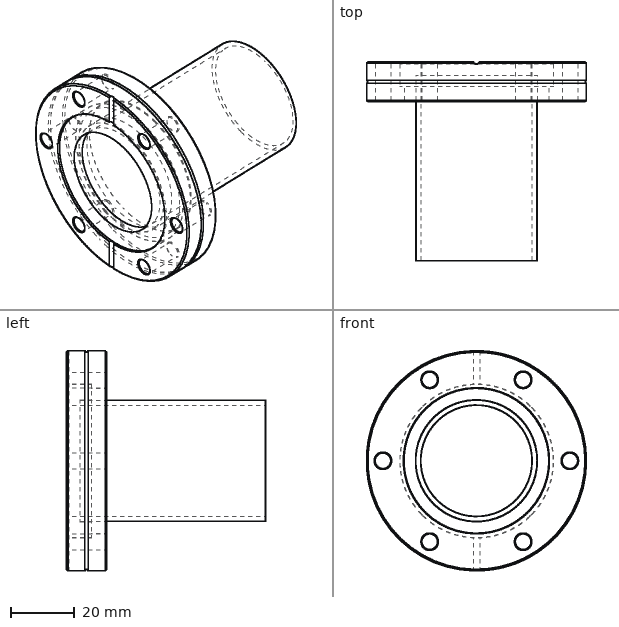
import cadquery as cq
import math


ring_diameter = 69.1
ring_thickness = 12.6
ring_bore_diameter = 45.5
ring_recess_diameter = 48.3
ring_shoulder_depth = 4.85
rim_chamfer = 0.5
bore_chamfer = 0.2

bolt_count = 6
bolt_hole_diameter = 4.9
bolt_circle_diameter = 58.7
bolt_hole_chamfer = 0.3

rim_groove_width = 1.0
rim_groove_depth = 0.35

leak_groove_width = 2.0
leak_groove_depth = 0.7

overall_length = 62.5
tube_outer_diameter = 38.1
tube_bore_diameter = 34.9
tube_end_y = ring_thickness - overall_length

insert_diameter = 48.1
insert_socket_diameter = 38.3
insert_back_y = ring_thickness - leak_groove_depth
tube_seat_y = (ring_shoulder_depth + insert_back_y) / 2


def cylinder(diameter, y_start, y_end):
    """Solid cylinder on the Y axis between two Y positions."""
    base = cq.Workplane("XZ", origin=(0, y_start, 0))
    return base.circle(diameter / 2).extrude(y_start - y_end)


def arc_radius(width, depth):
    """Radius of the arc that spans a groove of this width and depth."""
    return (width ** 2 / 4 + depth ** 2) / (2 * depth)


def rim_groove():
    """Ring with a round section that cuts the groove around the rim."""
    radius = arc_radius(rim_groove_width, rim_groove_depth)
    centre_radius = ring_diameter / 2 - rim_groove_depth + radius
    section = cq.Workplane("XY").center(centre_radius, ring_thickness / 2).circle(radius)
    return section.revolve(360, (-centre_radius, 0), (-centre_radius, 1))


def leak_groove():
    """Round bar along Z that cuts the leak-check groove across the sealing face."""
    radius = arc_radius(leak_groove_width, leak_groove_depth)
    centre_y = ring_thickness - leak_groove_depth + radius
    bar = cq.Workplane("XY").center(0, centre_y).circle(radius)
    return bar.extrude(ring_diameter / 2, both=True)


def bolt_hole(index):
    """Cutter for one bolt hole, widened by a chamfer at both ring faces."""
    radius = bolt_hole_diameter / 2
    wide_radius = radius + bolt_hole_chamfer
    profile = [
        (0, 0),
        (wide_radius, 0),
        (radius, bolt_hole_chamfer),
        (radius, ring_thickness - bolt_hole_chamfer),
        (wide_radius, ring_thickness),
        (0, ring_thickness),
    ]
    hole = cq.Workplane("XY").polyline(profile).close().revolve(360, (0, 0), (0, 1))
    angle = 2 * math.pi * index / bolt_count
    x = bolt_circle_diameter / 2 * math.cos(angle)
    z = bolt_circle_diameter / 2 * math.sin(angle)
    return hole.translate((x, 0, z))


def make_ring():
    ring = cylinder(ring_diameter, 0, ring_thickness).edges().chamfer(rim_chamfer)
    ring = ring.cut(cylinder(ring_bore_diameter, 0, ring_thickness))
    bore_edge = ring.faces("<Y").edges(cq.selectors.RadiusNthSelector(0))
    ring = bore_edge.chamfer(bore_chamfer)
    ring = ring.cut(cylinder(ring_recess_diameter, ring_shoulder_depth, ring_thickness))
    for index in range(bolt_count):
        ring = ring.cut(bolt_hole(index))
    return ring.cut(rim_groove()).cut(leak_groove())


def make_insert():
    insert = cylinder(insert_diameter, ring_shoulder_depth, insert_back_y)
    insert = insert.cut(cylinder(tube_bore_diameter, ring_shoulder_depth, insert_back_y))
    return insert.cut(cylinder(insert_socket_diameter, ring_shoulder_depth, tube_seat_y))


def make_tube():
    tube = cylinder(tube_outer_diameter, tube_end_y, tube_seat_y)
    return tube.cut(cylinder(tube_bore_diameter, tube_end_y, tube_seat_y))


ring = make_ring()
insert = make_insert()
tube = make_tube()

result = cq.Compound.makeCompound([ring.val(), insert.val(), tube.val()])